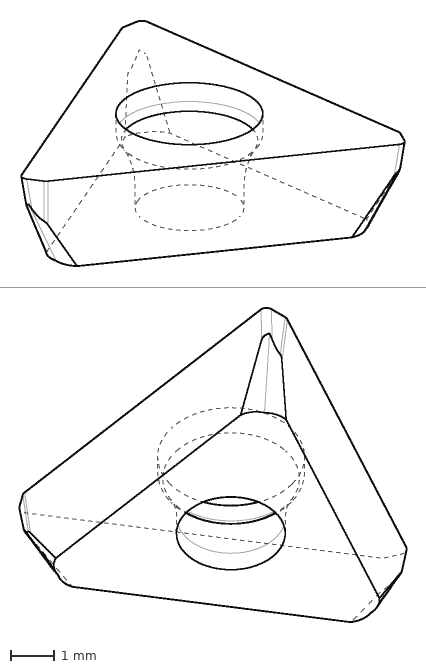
import cadquery as cq
import math

thickness = 2.38
inscribed_radius = 2.78
corner_flat_distance = 4.46
draft_angle = 7.0
nose_radius = 0.17
heel_radius = 0.18
corner_angles = (0, 120, 240)

relief_top_start = (-inscribed_radius, -4.7)
relief_top_middle = (-2.775, -4.65)
relief_top_end = (-2.685, -4.77)
relief_top_bulge = 0.001
relief_bulge = 0.06
relief_middle = (-2.13, -3.65)
relief_start_y = -3.24
relief_end_x = -1.59
relief_runout = 0.54
relief_reach = 1.81

bore_radius = 2.5 / 2
seat_radius = 3.38 / 2
seat_depth = 0.47
bore_depth = 1.86
lip_end_radius = 1.57
lip_end_depth = 0.67


def rotated(point, degrees):
    a = math.radians(degrees)
    x, y = point
    return (x * math.cos(a) - y * math.sin(a), x * math.sin(a) + y * math.cos(a))


def long_side_y(x, side_distance):
    """Y on the lower long side, which climbs at 30 degrees."""
    return (x / 2 - side_distance) / math.cos(math.radians(30))


def drafted_body():
    side_angle = math.radians(30)
    sharp_y = long_side_y(-inscribed_radius, inscribed_radius)
    nose = (-inscribed_radius, -corner_flat_distance)
    heel_x = -inscribed_radius + (-corner_flat_distance - sharp_y) / math.tan(side_angle)
    heel = (heel_x, -corner_flat_distance)
    outline = [rotated(p, angle) for angle in corner_angles for p in (nose, heel)]
    body = cq.Workplane("XY").polyline(outline).close().extrude(-thickness, taper=draft_angle)
    for point, radius in ((nose, nose_radius), (heel, heel_radius)):
        for angle in corner_angles:
            x, y = rotated(point, angle)
            edge = cq.selectors.NearestToPointSelector((x, y, -thickness / 2))
            body = body.edges("not #Z").edges(edge).fillet(radius)
    return body


def outside_profile(start, middle, end, bulges, z):
    """Closed wire at height z: two joined arcs, then straight sides well clear of the corner."""
    runout = (end[0] + relief_runout, end[1])
    outer_x = start[0] - relief_reach
    outer_y = end[1] - relief_reach
    corners = [end, runout, (runout[0], outer_y), (outer_x, outer_y), (outer_x, start[1]), start]

    def place(point):
        return cq.Vector(point[0], point[1], z)

    edges = [
        cq.Edge.makeThreePointArc(place(start), place(bulges[0]), place(middle)),
        cq.Edge.makeThreePointArc(place(middle), place(bulges[1]), place(end)),
    ]
    edges += [cq.Edge.makeLine(place(p), place(q)) for p, q in zip(corners, corners[1:])]
    return cq.Wire.assembleEdges(edges)


def bulged_midpoint(p, q, bulge):
    """Middle of the chord p-q, pushed to the right of its direction by bulge."""
    dx, dy = q[0] - p[0], q[1] - p[1]
    length = math.hypot(dx, dy)
    return ((p[0] + q[0]) / 2 + bulge * dy / length, (p[1] + q[1]) / 2 - bulge * dx / length)


def relief_cutter():
    """Everything outside the two ruled surfaces that trim the lower part of one corner."""
    bottom_side = inscribed_radius - thickness * math.tan(math.radians(draft_angle))
    start = (-bottom_side, relief_start_y)
    end = (relief_end_x, long_side_y(relief_end_x, bottom_side))
    sections = []
    for points, bulge, z in (
        ((relief_top_start, relief_top_middle, relief_top_end), relief_top_bulge, 0),
        ((start, relief_middle, end), relief_bulge, -thickness),
    ):
        bulges = [bulged_midpoint(p, q, bulge) for p, q in zip(points, points[1:])]
        sections.append(outside_profile(*points, bulges, z))
    return cq.Workplane(cq.Solid.makeLoft(sections, True))


def screw_hole():
    """Revolved hole: straight wall, rounded lip, curved seat tangent to the bore, then the bore."""
    seat_arc_radius = ((lip_end_radius - bore_radius) ** 2 + (bore_depth - lip_end_depth) ** 2) / (
        2 * (lip_end_radius - bore_radius)
    )
    half_angle = math.asin((bore_depth - lip_end_depth) / seat_arc_radius) / 2
    seat_middle = (
        bore_radius + seat_arc_radius * (1 - math.cos(half_angle)),
        -bore_depth + seat_arc_radius * math.sin(half_angle),
    )
    return (
        cq.Workplane("XZ")
        .lineTo(seat_radius, 0)
        .lineTo(seat_radius, -seat_depth)
        .tangentArcPoint((lip_end_radius, -lip_end_depth), relative=False)
        .threePointArc(seat_middle, (bore_radius, -bore_depth))
        .lineTo(bore_radius, -thickness)
        .lineTo(0, -thickness)
        .close()
        .revolve(360, (0, 0), (0, 1))
    )


result = drafted_body()
cutter = relief_cutter()
for corner_angle in corner_angles:
    result = result.cut(cutter.rotate((0, 0, 0), (0, 0, 1), corner_angle))
result = result.cut(screw_hole())